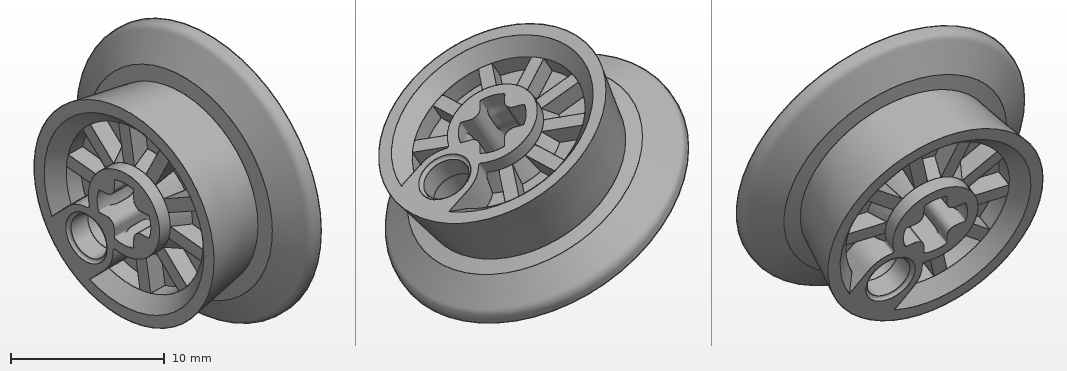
import cadquery as cq
import math


SPOKE_FRONT_Y = 1.0
WEB_FRONT_Y = 2.35
RIM_END_Y = 5.0
BEVEL_START_Y = 5.2
BEVEL_END_Y = 6.38
EDGE_LAND_Y = 7.0
FLANGE_BACK_Y = 7.4
TOTAL_WIDTH = 8.25

RIM_FRONT_RADIUS = 8.1
RIM_END_RADIUS = 7.28
BEVEL_START_RADIUS = 8.39
BEVEL_END_RADIUS = 10.34
FLANGE_RADIUS = 10.7
BACK_BOSS_RADIUS = 3.95
BACK_BOSS_EDGE_FILLET = 0.2
BACK_BOSS_BASE_FILLET = 0.54

RECESS_MOUTH_RADIUS = 7.2
RECESS_RADIUS = 6.16
HUB_RADIUS = 3.2
HUB_BASE_RADIUS = 3.92

SPOKE_WIDTH = 0.98
SPOKE_POSITIONS = 10
OMITTED_SPOKES = 2
SPOKE_PITCH = 360 / SPOKE_POSITIONS

PIN_ANGLE = 225.0
PIN_CENTER_DISTANCE = 4.8
PIN_HOLE_DIAMETER = 3.2
PIN_RELIEF_DIAMETER = 3.7
PIN_RELIEF_FRONT_Y = 1.82
PIN_BOSS_RADIUS = 2.4
PIN_BOSS_CORNER_FILLET = 0.21

AXLE_ARM_WIDTH = 1.75
AXLE_CORNER_FILLET = 0.68
AXLE_TIP_RADIUS = 2.42
AXLE_TIP_FILLET = 0.13
RIDGE_RADIUS = 2.3
RIDGE_START_Y = 1.11
RIDGE_RAMP = 0.51
RIDGE_LAND = 1.07
RIDGE_FILLET = 1.07

OVERLAP = 0.21


def revolve_about_y(profile):
    return profile.close().revolve(360, (0, 0, 0), (0, 1, 0))


def sketch_at(y):
    """XZ sketch plane at depth y; positive extrusion runs towards -Y and local x is world X."""
    return cq.Workplane(cq.Plane(origin=(0, y, 0), xDir=(1, 0, 0), normal=(0, -1, 0)))


def extrude_back(sketch, depth):
    return sketch.extrude(-depth)


def wheel_body():
    """Tapered rim, bevelled flange and back boss as one turned solid."""
    rise = EDGE_LAND_Y - BEVEL_END_Y
    inset = FLANGE_RADIUS - BEVEL_END_RADIUS
    edge_radius = (rise**2 + inset**2) / (2 * inset)
    profile = (
        cq.Workplane("XY")
        .lineTo(RIM_FRONT_RADIUS, 0)
        .lineTo(RIM_END_RADIUS, RIM_END_Y)
        .lineTo(BEVEL_START_RADIUS, BEVEL_START_Y)
        .lineTo(BEVEL_END_RADIUS, BEVEL_END_Y)
        .radiusArc((FLANGE_RADIUS, EDGE_LAND_Y), -edge_radius)
        .lineTo(FLANGE_RADIUS, FLANGE_BACK_Y)
        .lineTo(BACK_BOSS_RADIUS + BACK_BOSS_BASE_FILLET, FLANGE_BACK_Y)
        .radiusArc((BACK_BOSS_RADIUS, FLANGE_BACK_Y + BACK_BOSS_BASE_FILLET), BACK_BOSS_BASE_FILLET)
        .lineTo(BACK_BOSS_RADIUS, TOTAL_WIDTH - BACK_BOSS_EDGE_FILLET)
        .radiusArc((BACK_BOSS_RADIUS - BACK_BOSS_EDGE_FILLET, TOTAL_WIDTH), -BACK_BOSS_EDGE_FILLET)
        .lineTo(0, TOTAL_WIDTH)
    )
    return revolve_about_y(profile)


def front_recess():
    """Ring-shaped pocket between the rim and the hub, whose base flares out to the web."""
    profile = (
        cq.Workplane("XY")
        .moveTo(HUB_RADIUS, 0)
        .lineTo(RECESS_MOUTH_RADIUS, 0)
        .lineTo(RECESS_RADIUS, SPOKE_FRONT_Y)
        .lineTo(RECESS_RADIUS, WEB_FRONT_Y)
        .lineTo(HUB_BASE_RADIUS, WEB_FRONT_Y)
        .lineTo(HUB_RADIUS, SPOKE_FRONT_Y)
    )
    return revolve_about_y(profile)


def spoke(angle):
    inner = HUB_RADIUS - OVERLAP
    outer = RECESS_RADIUS + OVERLAP
    outline = sketch_at(SPOKE_FRONT_Y).center((inner + outer) / 2, 0).rect(outer - inner, SPOKE_WIDTH)
    bar = extrude_back(outline, WEB_FRONT_Y - SPOKE_FRONT_Y + OVERLAP)
    return bar.rotate((0, 0, 0), (0, -1, 0), angle)


def pin_boss():
    """Round boss that merges into the hub and runs straight out to the rim."""
    depth = WEB_FRONT_Y + OVERLAP
    arm_length = RIM_END_RADIUS - PIN_CENTER_DISTANCE
    hub = extrude_back(sketch_at(0).circle(HUB_RADIUS), depth)
    disc = extrude_back(sketch_at(0).center(PIN_CENTER_DISTANCE, 0).circle(PIN_BOSS_RADIUS), depth)
    boss = hub.union(disc)
    crossing = cq.selectors.BoxSelector(
        (HUB_RADIUS - PIN_BOSS_RADIUS, 0, -HUB_RADIUS), (PIN_CENTER_DISTANCE, depth, HUB_RADIUS)
    )
    boss = boss.edges("|Y").edges(crossing).fillet(PIN_BOSS_CORNER_FILLET)
    arm_center = PIN_CENTER_DISTANCE + arm_length / 2
    arm_outline = sketch_at(0).center(arm_center, 0).rect(arm_length, 2 * PIN_BOSS_RADIUS)
    arm = extrude_back(arm_outline, depth)
    inside_rim = extrude_back(sketch_at(0).circle(RIM_END_RADIUS), depth)
    boss = boss.union(arm).intersect(inside_rim)
    return boss.rotate((0, 0, 0), (0, -1, 0), PIN_ANGLE)


def pin_hole():
    """Hole with a rounded mouth in front and a wider relief that also notches the back boss."""
    hole_radius = PIN_HOLE_DIAMETER / 2
    relief_radius = PIN_RELIEF_DIAMETER / 2
    mouth_fillet = relief_radius - hole_radius
    profile = (
        cq.Workplane("XY")
        .lineTo(relief_radius, 0)
        .radiusArc((hole_radius, mouth_fillet), -mouth_fillet)
        .lineTo(hole_radius, PIN_RELIEF_FRONT_Y)
        .lineTo(relief_radius, PIN_RELIEF_FRONT_Y)
        .lineTo(relief_radius, TOTAL_WIDTH)
        .lineTo(0, TOTAL_WIDTH)
    )
    angle = math.radians(PIN_ANGLE)
    offset = (PIN_CENTER_DISTANCE * math.cos(angle), 0, PIN_CENTER_DISTANCE * math.sin(angle))
    return revolve_about_y(profile).translate(offset)


def axle_ridge():
    """Low ring that narrows the arm tips, ramped smoothly on both sides of a flat crest."""
    height = AXLE_TIP_RADIUS - RIDGE_RADIUS
    slope = math.atan2(height, RIDGE_RAMP)
    tangent = RIDGE_FILLET * math.tan(slope / 2)
    run = tangent * math.cos(slope)
    rise = tangent * math.sin(slope)
    center_y = RIDGE_START_Y + RIDGE_RAMP + RIDGE_LAND / 2
    foot_y = RIDGE_START_Y
    crest_y = RIDGE_START_Y + RIDGE_RAMP
    outer = AXLE_TIP_RADIUS + OVERLAP
    front_half = revolve_about_y(
        cq.Workplane("XY")
        .moveTo(outer, foot_y - tangent)
        .lineTo(AXLE_TIP_RADIUS, foot_y - tangent)
        .radiusArc((AXLE_TIP_RADIUS - rise, foot_y + run), -RIDGE_FILLET)
        .lineTo(RIDGE_RADIUS + rise, crest_y - run)
        .radiusArc((RIDGE_RADIUS, crest_y + tangent), RIDGE_FILLET)
        .lineTo(RIDGE_RADIUS, center_y)
        .lineTo(outer, center_y)
    )
    return front_half.union(front_half.mirror("XZ", (0, center_y, 0)))


def axle_hole():
    """Cross with rounded inner and outer corners, narrowed by the ridge."""
    span = 2 * (AXLE_TIP_RADIUS + OVERLAP)
    across = sketch_at(0).rect(span, AXLE_ARM_WIDTH)
    upright = sketch_at(0).rect(AXLE_ARM_WIDTH, span)
    tip_circle = sketch_at(0).circle(AXLE_TIP_RADIUS)
    cross = extrude_back(across, TOTAL_WIDTH).union(extrude_back(upright, TOTAL_WIDTH))
    cross = cross.intersect(extrude_back(tip_circle, TOTAL_WIDTH))
    reach = AXLE_ARM_WIDTH / 2 + OVERLAP
    inner_corners = cq.selectors.BoxSelector((-reach, 0, -reach), (reach, TOTAL_WIDTH, reach))
    tip_corners = cq.selectors.InverseSelector(inner_corners)
    cross = cross.edges("|Y").edges(tip_corners).fillet(AXLE_TIP_FILLET)
    cross = cross.edges("|Y").edges(inner_corners).fillet(AXLE_CORNER_FILLET)
    return cross.cut(axle_ridge())


result = wheel_body().cut(front_recess())

first_spoke_angle = PIN_ANGLE + (OMITTED_SPOKES + 1) / 2 * SPOKE_PITCH
for index in range(SPOKE_POSITIONS - OMITTED_SPOKES):
    result = result.union(spoke(first_spoke_angle + index * SPOKE_PITCH))

result = result.union(pin_boss()).cut(pin_hole()).cut(axle_hole())